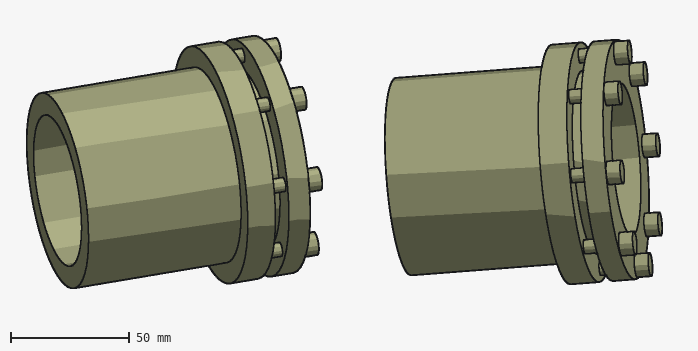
import cadquery as cq

flange_diameter = 102.0
sleeve_diameter = 84.0
bore_diameter = 65.0
seat_diameter = 78.0

sleeve_length = 68.0
front_flange_thickness = 12.3
flange_gap = 6.0
rear_flange_thickness = 9.6
bolt_head_height = 6.0

bolt_count = 8
bolt_circle_diameter = 91.0
first_bolt_angle = 15.0
bolt_head_diameter = 10.0
bolt_shank_diameter = 6.0

front_flange_start = sleeve_length
gap_start = front_flange_start + front_flange_thickness
rear_flange_start = gap_start + flange_gap
rear_face = rear_flange_start + rear_flange_thickness


def plane_at(y):
    """Workplane at the given Y station, with its normal along +Y and local x along +X."""
    return cq.Workplane(cq.Plane(origin=(0, y, 0), xDir=(1, 0, 0), normal=(0, 1, 0)))


def disc(diameter, start, length):
    """Solid cylinder on the sleeve axis, running towards +Y from start."""
    return plane_at(start).circle(diameter / 2).extrude(length)


def bolt_ring(diameter, start, length):
    """Cylinders spaced evenly around the bolt circle."""
    return (
        plane_at(start)
        .polarArray(bolt_circle_diameter / 2, -first_bolt_angle, 360, bolt_count)
        .circle(diameter / 2)
        .extrude(length)
    )


body = (
    disc(sleeve_diameter, 0, sleeve_length)
    .union(disc(flange_diameter, front_flange_start, front_flange_thickness))
    .union(disc(seat_diameter, gap_start, flange_gap))
    .union(disc(flange_diameter, rear_flange_start, rear_flange_thickness))
)

shanks = bolt_ring(bolt_shank_diameter, gap_start, flange_gap)
heads = bolt_ring(bolt_head_diameter, rear_face, bolt_head_height)

bore = disc(bore_diameter, 0, rear_face)

result = body.union(shanks).union(heads).cut(bore)